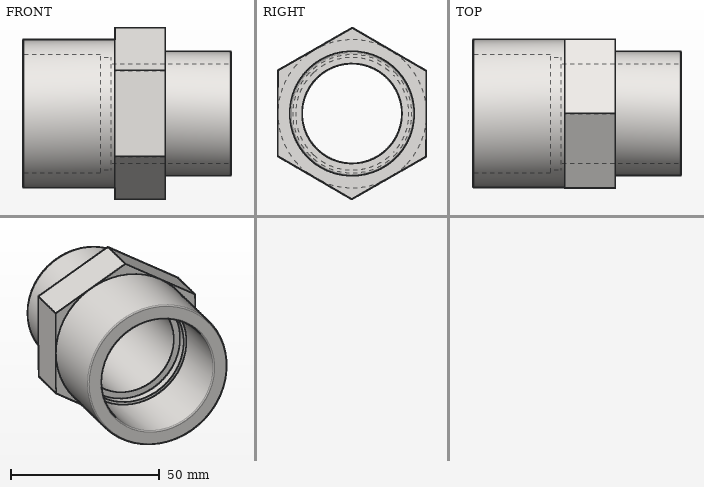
import cadquery as cq

length = 70.0
hex_start = 30.95
hex_width = 17.0
hex_corner_diameter = 57.75
hex_tilt = -0.2

socket_diameter = 50.0
spigot_diameter = 41.9
edge_radius = 0.4

socket_bore_diameter = 40.0
step_bore_diameter = 38.0
socket_depth = 26.05
step_length = 3.5
through_diameter = 33.5


def cylinder(diameter, start, end):
    return cq.Workplane("YZ", origin=(start, 0, 0)).circle(diameter / 2).extrude(end - start)


hex_end = hex_start + hex_width
socket = cylinder(socket_diameter, 0, hex_end).faces("<X").fillet(edge_radius)
spigot = cylinder(spigot_diameter, hex_start, length).faces(">X").fillet(edge_radius)
grip = (
    cq.Workplane("YZ", origin=(hex_start, 0, 0))
    .transformed(rotate=(0, 0, 90 + hex_tilt))
    .polygon(6, hex_corner_diameter)
    .extrude(hex_width)
)
body = socket.union(grip).union(spigot)

step_end = socket_depth + step_length
socket_bore = cylinder(socket_bore_diameter, 0, socket_depth)
step_bore = cylinder(step_bore_diameter, socket_depth, step_end)
through_bore = cylinder(through_diameter, 0, length)

bored = body.cut(socket_bore).cut(step_bore).cut(through_bore)
mouth_edge = cq.selectors.RadiusNthSelector(0)
result = bored.faces("<X").edges(mouth_edge).fillet(edge_radius)